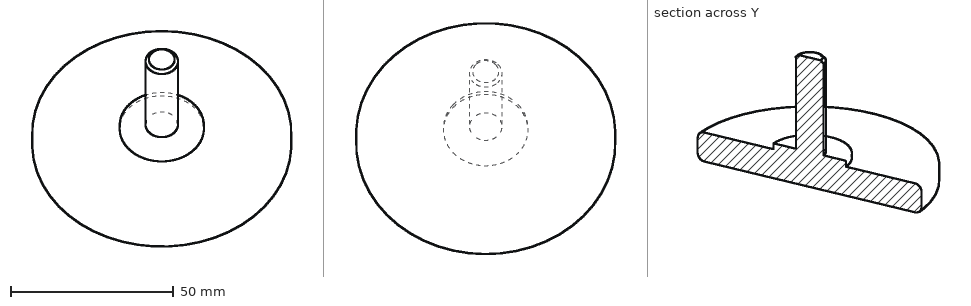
import cadquery as cq

BASE_DIAMETER = 80.0
BASE_HEIGHT = 10.0
BASE_EDGE_RADIUS = 2.5

COLLAR_DIAMETER = 26.0
COLLAR_HEIGHT = 2.0
COLLAR_EDGE_RADIUS = 0.5

STUD_DIAMETER = 10.0
STUD_LENGTH = 32.0
STUD_CHAMFER = 1.0


def make_cylinder(diameter, height, bottom_z):
    """Upright cylinder centred on the Z axis."""
    return cq.Workplane("XY").workplane(offset=bottom_z).circle(diameter / 2).extrude(height)


def make_base():
    """Disc with both rims rounded."""
    disc = make_cylinder(BASE_DIAMETER, BASE_HEIGHT, 0)
    return disc.edges("%CIRCLE").fillet(BASE_EDGE_RADIUS)


def make_collar():
    """Low collar with a rounded upper rim."""
    collar = make_cylinder(COLLAR_DIAMETER, COLLAR_HEIGHT, BASE_HEIGHT)
    return collar.faces(">Z").edges().fillet(COLLAR_EDGE_RADIUS)


def make_stud():
    """Plain stud with a chamfered tip."""
    stud = make_cylinder(STUD_DIAMETER, STUD_LENGTH, BASE_HEIGHT + COLLAR_HEIGHT)
    return stud.faces(">Z").edges().chamfer(STUD_CHAMFER)


result = make_base().union(make_collar()).union(make_stud())